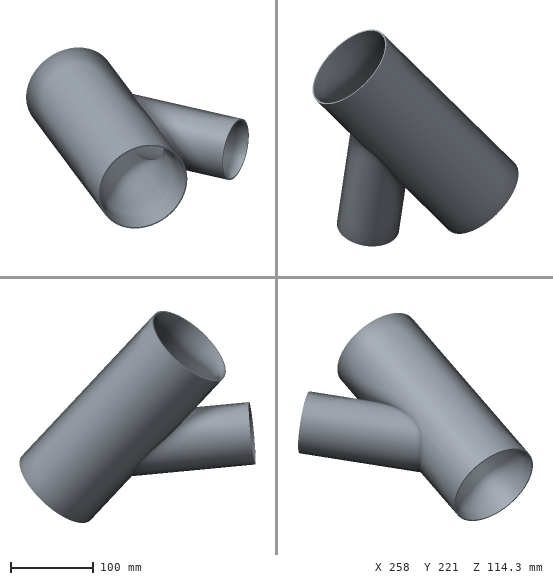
import cadquery as cq
import math

main_length = 258.0
main_outer_diameter = 114.3
main_inner_diameter = 110.5

branch_outer_diameter = 76.0
branch_inner_diameter = 72.0
branch_angle = 45.0
branch_start_x = 72.0
total_width = 221.0

angle = math.radians(branch_angle)
rim_rise = branch_outer_diameter / 2 * math.cos(angle)
branch_end_y = total_width - main_outer_diameter / 2 - rim_rise
branch_length = branch_end_y / math.sin(angle)


def main_cylinder(diameter):
    return cq.Workplane("YZ").circle(diameter / 2).extrude(main_length)


def branch_cylinder(diameter):
    """Cylinder along the branch axis, from the main axis to the branch end."""
    axis_plane = cq.Plane(
        origin=(branch_start_x, 0, 0),
        xDir=(0, 0, 1),
        normal=(math.cos(angle), math.sin(angle), 0),
    )
    return cq.Workplane(axis_plane).circle(diameter / 2).extrude(branch_length)


outer_body = main_cylinder(main_outer_diameter).union(branch_cylinder(branch_outer_diameter))
result = outer_body.cut(main_cylinder(main_inner_diameter)).cut(branch_cylinder(branch_inner_diameter))